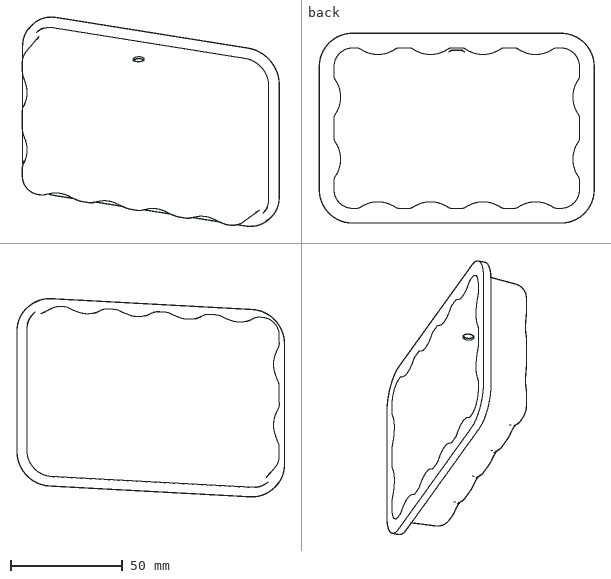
import cadquery as cq

length = 123.3
width = 85.2
depth = 25.2

wall = 1.0
wall_inset = 5.7
wall_draft = 3.7
bottom_round = 6.2
root_round = 0.7

rim_height = 3.8
rim_corner = 15.0
rim_round = 0.7
groove_inset = 3.8
groove_round = 0.7
groove_floor = wall

scallop_radius = 12.7
scallop_depth = 3.0
scallop_round = 4.1
long_side_pitch = 23.5
long_side_count = 4
short_side_pitch = 27.9
short_side_count = 2

vent_diameter = 4.9
vent_depth = 15.9


def rounded_block(inset, start, end, draft=0.0):
    """Block from y = -start to y = -end whose outline lies `inset` inside the rim outline."""
    outline = (
        cq.Sketch()
        .rect(length - 2 * inset, width - 2 * inset)
        .vertices()
        .fillet(rim_corner - inset)
    )
    return cq.Workplane("XZ", origin=(0, -start, 0)).placeSketch(outline).extrude(end - start, taper=draft)


def row(count, pitch):
    """Evenly spaced positions centred on zero."""
    return [(i - (count - 1) / 2) * pitch for i in range(count)]


def scallop_centers():
    """X and Z of every scallop axis at the mouth."""
    reach = scallop_radius - scallop_depth
    axis_x = length / 2 - wall_inset + reach
    axis_z = width / 2 - wall_inset + reach
    centers = []
    for side in (-1, 1):
        centers += [(x, side * axis_z) for x in row(long_side_count, long_side_pitch)]
        centers += [(side * axis_x, z) for z in row(short_side_count, short_side_pitch)]
    return centers


def scallop_edges(body):
    """Edges around the scallops, leaving out the conical corners and the mouth."""
    corner_x = length / 2 - rim_corner
    corner_z = width / 2 - rim_corner
    edges = []
    for face in body.faces("%CONE").vals():
        center = face.Center()
        if abs(center.x) > corner_x and abs(center.z) > corner_z:
            continue
        edges += [edge for edge in face.Edges() if edge.BoundingBox().ymin < -rim_height]
    return edges


def tray_body(offset):
    """Solid bounded by the outer surface of the tray moved inward by `offset`."""
    body = rounded_block(wall_inset + offset, 0, depth - offset, wall_draft)
    body = body.faces("<Y").edges().fillet(bottom_round - offset)
    for center in scallop_centers():
        cone = (
            cq.Workplane("XZ")
            .center(*center)
            .circle(scallop_radius + offset)
            .extrude(depth, taper=-wall_draft)
        )
        body = body.cut(cone)
    return body.newObject(scallop_edges(body)).fillet(scallop_round - offset)


def rim():
    """Rim block, recessed behind its lip, with both lip edges and the recess corner rounded."""
    block = rounded_block(0, 0, rim_height)
    recess = rounded_block(groove_inset, groove_floor, rim_height)
    recess = recess.faces(">Y").edges().fillet(groove_round)
    return block.cut(recess).faces("<Y").edges().fillet(rim_round)


def root_edges(body):
    """Edges where the wall rises from the groove floor."""
    floor = body.faces(cq.selectors.NearestToPointSelector((0, -groove_floor, 0)))
    return floor.val().innerWires()[0].Edges()


tray = rim().union(tray_body(0))
tray = tray.newObject(root_edges(tray)).fillet(root_round)
tray = tray.cut(tray_body(wall))

vent = (
    cq.Workplane("XY")
    .center(0, -vent_depth)
    .circle(vent_diameter / 2)
    .extrude(width / 2)
)
result = tray.cut(vent)